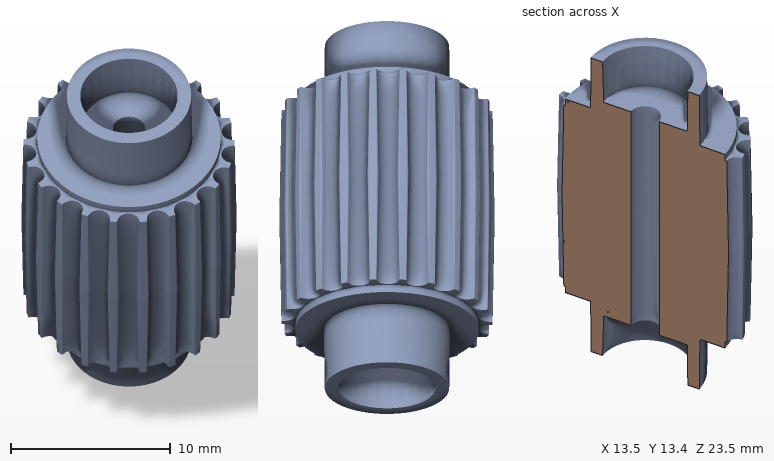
import cadquery as cq
import math

total_length = 23.5
hub_length = 4.0
flange_thickness = 0.5
flange_top = total_length / 2 - hub_length
gear_top = flange_top - flange_thickness

tip_radius = 6.75
flange_radius = 5.75
hub_radius = 3.97
bore_radius = 3.05
bore_depth = 3.2
axle_radius = 1.0
draft_angle = 1.0

axis = (0.0, 0.0)
tooth_count = 22
groove_depth = 0.75
root_arc_radius = 0.56
flank_arc_radius = 1.0
tip_round = 0.15
root_centre = tip_radius - groove_depth + root_arc_radius
flank_offset = math.sqrt(
    (flank_arc_radius - root_arc_radius) ** 2 - (tip_radius - root_centre) ** 2
)


def polar(centre, radius, angle):
    return (
        centre[0] + radius * math.cos(angle),
        centre[1] + radius * math.sin(angle),
    )


def direction(start, end):
    return math.atan2(end[1] - start[1], end[0] - start[0])


def half_groove():
    """Points of the +Y half of a groove centred on the +X axis, from root to tip circle."""
    flank_centre = (tip_radius, -flank_offset)
    root_bottom = (root_centre - root_arc_radius, 0.0)

    to_flank = math.hypot(*flank_centre)
    to_round = tip_radius - tip_round
    flank_to_round = flank_arc_radius + tip_round
    corner_angle = math.acos(
        (to_flank ** 2 + to_round ** 2 - flank_to_round ** 2) / (2 * to_flank * to_round)
    )
    round_angle = direction(axis, flank_centre) + corner_angle
    round_centre = polar(axis, to_round, round_angle)

    flank_start_angle = direction(flank_centre, (root_centre, 0.0))
    flank_end_angle = direction(flank_centre, round_centre)
    flank_start = polar(flank_centre, flank_arc_radius, flank_start_angle)
    flank_middle = polar(flank_centre, flank_arc_radius, (flank_start_angle + flank_end_angle) / 2)
    flank_end = polar(flank_centre, flank_arc_radius, flank_end_angle)

    round_start_angle = flank_end_angle - math.pi
    round_middle = polar(round_centre, tip_round, (round_start_angle + round_angle) / 2)
    round_end = polar(axis, tip_radius, round_angle)
    return [root_bottom, flank_start, flank_middle, flank_end, round_middle, round_end]


def gear_outline():
    pitch_angle = 2 * math.pi / tooth_count
    rising_side = half_groove()
    falling_side = [(x, -y) for x, y in reversed(rising_side)]
    groove = falling_side + rising_side[1:]

    def turned(point, angle):
        return polar(axis, math.hypot(*point), math.atan2(point[1], point[0]) + angle)

    outline = cq.Workplane("XY").moveTo(*turned(groove[0], pitch_angle / 2))
    for tooth in range(tooth_count):
        groove_angle = (tooth + 0.5) * pitch_angle
        points = [turned(point, groove_angle) for point in groove]
        for middle, end in zip(points[1::2], points[2::2]):
            outline = outline.threePointArc(middle, end)
        tip_middle = turned((tip_radius, 0.0), groove_angle + pitch_angle / 2)
        next_groove_start = turned(groove[0], groove_angle + pitch_angle)
        outline = outline.threePointArc(tip_middle, next_groove_start)
    return outline.close()


def upper_half():
    gear = gear_outline().extrude(gear_top, taper=draft_angle)
    flange = cq.Workplane("XY").circle(flange_radius).extrude(flange_top)
    hub = (
        cq.Workplane("XY").workplane(offset=flange_top)
        .circle(hub_radius).extrude(hub_length, taper=draft_angle)
    )
    bore = (
        cq.Workplane("XY").workplane(offset=total_length / 2)
        .circle(bore_radius).extrude(-bore_depth, taper=draft_angle)
    )
    return gear.union(flange).union(hub).cut(bore)


upper = upper_half()
axle_hole = cq.Workplane("XY").circle(axle_radius).extrude(total_length / 2, both=True)
result = upper.union(upper.mirror("XY")).cut(axle_hole)